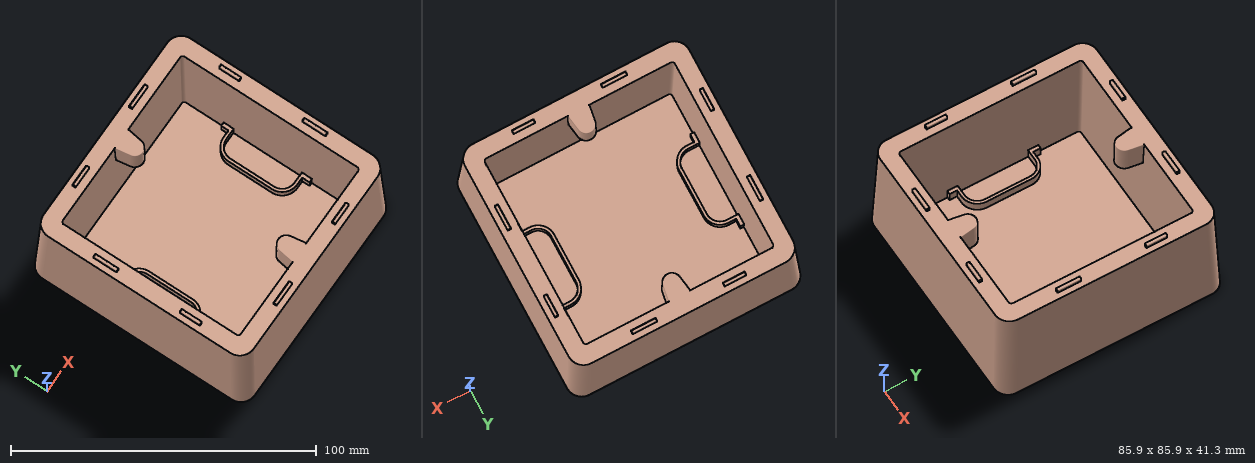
import cadquery as cq
import math

base_side = 85.9
housing_height = 40.0
wall_draft = 2.0
base_corner_radius = 5.5
rim_corner_radius = 5.6

mouth_side = 70.35
cavity_corner_radius = 1.0
floor_thickness = 2.75
cavity_draft = 3.0

lug_tip_distance = 26.8
lug_tip_radius = 3.2
lug_side_angle = 9.0
lug_height = 10.1
lug_draft = 1.0
lug_edge_radius = 0.3

rib_tip_distance = 23.1
rib_width = 29.2
rib_corner_radius = 6.0
rib_thickness = 1.1
rib_height = 3.5
foot_span = 35.0
foot_distance = 31.95

tab_centre_distance = 38.7
tab_width = 1.2
tab_height = 1.3
tab_edge_radius = 0.3
long_tab_start = 10.5
long_tab_end = 19.6
short_tab_start = -22.5
short_tab_end = -14.5
side_count = 4

wall_overlap = 1.7


def inset(height, draft):
    """Sideways shift of a face that leans by the draft angle over a height."""
    return height * math.tan(math.radians(draft))


rim_side = base_side - 2 * inset(housing_height, wall_draft)
floor_side = mouth_side - 2 * inset(housing_height - floor_thickness, cavity_draft)


def rounded_square(side, corner_radius, z):
    sketch = cq.Sketch().rect(side, side).vertices().fillet(corner_radius)
    return sketch.moved(cq.Location(cq.Vector(0, 0, z)))


def tapered_block(lower, upper):
    return cq.Workplane("XY").placeSketch(lower, upper).loft()


def make_shell():
    block = tapered_block(
        rounded_square(base_side, base_corner_radius, 0),
        rounded_square(rim_side, rim_corner_radius, housing_height),
    )
    cavity = tapered_block(
        rounded_square(floor_side, cavity_corner_radius, floor_thickness),
        rounded_square(mouth_side, cavity_corner_radius, housing_height),
    )
    return block.cut(cavity)


def lug_outline(workplane, growth):
    """Round tip with sides that spread towards the +Y wall, grown outwards all round."""
    angle = math.radians(lug_side_angle)
    radius = lug_tip_radius + growth
    tip_centre_y = lug_tip_distance + lug_tip_radius
    tangent_x = radius * math.cos(angle)
    tangent_y = tip_centre_y - radius * math.sin(angle)
    root_y = mouth_side / 2 + wall_overlap
    root_x = tangent_x + (root_y - tangent_y) * math.tan(angle)
    return (
        workplane.moveTo(-root_x, root_y)
        .lineTo(-tangent_x, tangent_y)
        .threePointArc((0, tip_centre_y - radius), (tangent_x, tangent_y))
        .lineTo(root_x, root_y)
        .close()
    )


def make_lug():
    """The lug on the +Y wall, slightly wider at its lower end."""
    lower_end = cq.Workplane("XY", origin=(0, 0, housing_height - lug_height))
    outline = lug_outline(lower_end, inset(lug_height, lug_draft))
    outline = lug_outline(outline.workplane(offset=lug_height), 0)
    lug = outline.loft(ruled=True, combine=True)
    return lug.faces(">Z").edges("not >Y").fillet(lug_edge_radius)


def make_rib():
    """The rib at the +X wall."""
    wall_x = floor_side / 2 + wall_overlap

    def strip(start_x, width):
        centre = ((start_x + wall_x) / 2, 0)
        return cq.Sketch().push([centre]).rect(wall_x - start_x, width).reset()

    bow = strip(rib_tip_distance, rib_width).vertices("<X").fillet(rib_corner_radius)
    hollow = strip(rib_tip_distance + rib_thickness, rib_width - 2 * rib_thickness)
    hollow = hollow.vertices("<X").fillet(rib_corner_radius - rib_thickness)
    profile = bow.reset().face(strip(foot_distance, foot_span)).face(hollow.reset(), mode="s").clean()
    return cq.Workplane("XY", origin=(0, 0, floor_thickness)).placeSketch(profile).extrude(rib_height)


def make_tab(start, end, turn):
    """A tab on the +Y rim from start to end along X, turned about Z to its side."""
    tab = cq.Workplane("XY").box(end - start, tab_width, tab_height, centered=(False, True, False))
    tab = tab.edges(">Z and |X").fillet(tab_edge_radius)
    tab = tab.translate((start, tab_centre_distance, housing_height))
    return tab.rotate((0, 0, 0), (0, 0, 1), turn)


def make_tabs():
    tabs = []
    for side in range(side_count):
        turn = side * 360 / side_count
        tabs.append(make_tab(long_tab_start, long_tab_end, turn))
        tabs.append(make_tab(short_tab_start, short_tab_end, turn))
    return tabs


def make_housing():
    lug = make_lug()
    rib = make_rib()
    housing = make_shell()
    for turn in (0, 180):
        housing = housing.union(lug.rotate((0, 0, 0), (0, 0, 1), turn))
        housing = housing.union(rib.rotate((0, 0, 0), (0, 0, 1), turn))
    return housing


moulded_tab, *loose_tabs = make_tabs()
housing = make_housing().union(moulded_tab)
result = cq.Compound.makeCompound([housing.val(), *[tab.val() for tab in loose_tabs]])